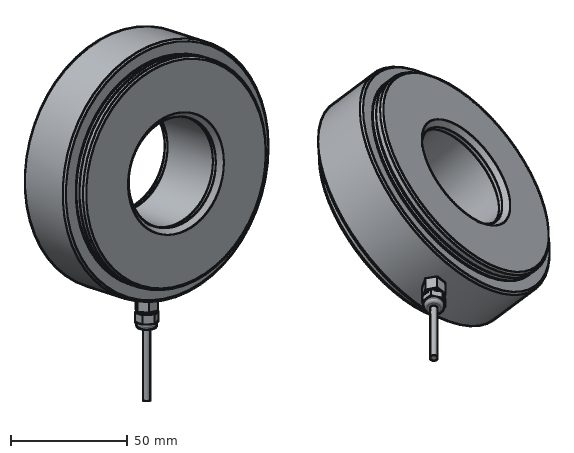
import cadquery as cq
import math

total_width = 39.0
ring_diameter = 116.0
cover_diameter = 103.0
bore_diameter = 49.0
cover_thickness = 4.4
shoulder_length = 1.5
edge_chamfer = 1.0
bore_chamfer = 2.5

hex_flats = 9.0
upper_hex_height = 7.2
neck_diameter = 8.0
neck_height = 1.0
lower_hex_height = 4.3
collar_diameter = 9.0
collar_height = 2.8
collar_fillet = 1.5

cable_diameter = 3.3
total_height = 163.5

ring_width = total_width - 2 * cover_thickness
rim_width = ring_width - 2 * shoulder_length
ring_bottom = -ring_diameter / 2
cable_bottom = ring_diameter / 2 - total_height


def x_cylinder(diameter, width):
    """Cylinder along X, centred at the origin."""
    return cq.Workplane("YZ").circle(diameter / 2).extrude(width).translate((-width / 2, 0, 0))


def make_ring():
    """Load ring: a wide rim with a chamfered shoulder on each side."""
    rim = x_cylinder(ring_diameter, rim_width).edges().chamfer(edge_chamfer)
    shoulders = x_cylinder(cover_diameter, ring_width).edges().chamfer(edge_chamfer)
    return rim.union(shoulders).cut(x_cylinder(bore_diameter, ring_width))


def make_cover(side):
    """Annular cover on the -X side (side = -1) or the +X side (side = 1)."""
    outer_face = "<X" if side < 0 else ">X"
    cover = x_cylinder(cover_diameter, cover_thickness).edges().chamfer(edge_chamfer)
    cover = cover.cut(x_cylinder(bore_diameter, cover_thickness))
    bore_edge = cq.selectors.RadiusNthSelector(0)
    cover = cover.faces(outer_face).edges(bore_edge).chamfer(bore_chamfer)
    return cover.translate((side * (ring_width + cover_thickness) / 2, 0, 0))


def hexagon(top, height, turn):
    """Hexagonal prism below top; turn = 0 puts two corners on the X axis."""
    corner_diameter = hex_flats / math.cos(math.pi / 6)
    prism = cq.Workplane("XY", origin=(0, 0, top)).polygon(6, corner_diameter).extrude(-height)
    return prism.rotate((0, 0, 0), (0, 0, 1), turn)


def z_cylinder(top, diameter, height):
    """Cylinder hanging down from top."""
    return cq.Workplane("XY", origin=(0, 0, top)).circle(diameter / 2).extrude(-height)


upper_hex_bottom = ring_bottom - upper_hex_height
lower_hex_top = upper_hex_bottom - neck_height
lower_hex_bottom = lower_hex_top - lower_hex_height
gland_bottom = lower_hex_bottom - collar_height


def make_gland():
    """Two hexagons joined by a neck, above a rounded collar; the top fits the round rim."""
    overlap = edge_chamfer
    gland = hexagon(ring_bottom + overlap, upper_hex_height + overlap, 30)
    gland = gland.cut(x_cylinder(ring_diameter, rim_width))
    gland = gland.union(z_cylinder(upper_hex_bottom, neck_diameter, neck_height))
    gland = gland.union(hexagon(lower_hex_top, lower_hex_height, 0))
    collar = z_cylinder(lower_hex_bottom, collar_diameter, collar_height)
    return gland.union(collar.faces("<Z").edges().fillet(collar_fillet))


def make_cable():
    """Cable from the underside of the gland to its free end."""
    return z_cylinder(gland_bottom, cable_diameter, gland_bottom - cable_bottom)


ring = make_ring()
covers = [make_cover(side) for side in (-1, 1)]
gland = make_gland()
cable = make_cable()

result = cq.Compound.makeCompound(
    [ring.val(), *[cover.val() for cover in covers], gland.val(), cable.val()]
)